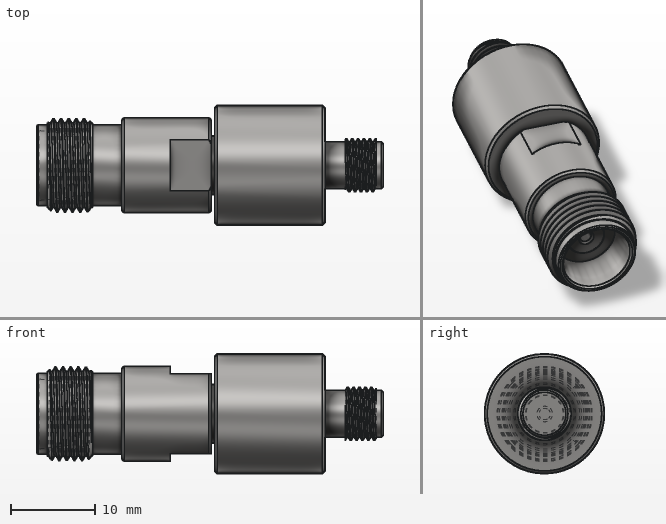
import cadquery as cq
import math

total_length = 41.15

barrel_diameter = 9.63
barrel_end_chamfer = 0.15

collar_start = 10.1
collar_end = 20.75
collar_diameter = 11.3
collar_chamfer = 0.3
flat_start = 15.9
flat_spacing = 9.55

neck_diameter = 7.0

body_start = 21.1
body_end = 34.25
body_diameter = 14.25
body_chamfer = 0.33

stub_diameter = 5.6
stub_end_chamfer = 0.25

large_thread_start = 1.25
large_thread_end = 6.63
large_thread_root = 10.12
large_thread_crest = 11.1
large_thread_pitch = 0.9
large_thread_phase = 0.85
large_thread_end_diameter = 9.88

small_thread_start = 36.62
small_thread_end = 40.3
small_thread_crest = 6.35
small_thread_pitch = 0.7
small_thread_phase = 35.9

flank_angle = math.radians(30)
crest_flat = 0.1
ridge_overlap = 0.05

mouth_diameter = 8.75
bore_diameter = 8.3
bore_floor_diameter = 7.32
mouth_chamfer_depth = 0.25
socket_depth = 4.53

insulator_diameter = 4.55
insulator_height = 0.25
insulator_chamfer = 0.1
contact_mouth_diameter = 1.85
contact_diameter = 1.35
contact_taper_depth = 0.25
contact_depth = 2.05


def revolved(profile):
    """Revolve a closed (x, radius) outline about the X axis."""
    return cq.Workplane("XY").polyline(profile).close().revolve(360, (0, 0, 0), (1, 0, 0))


def tapered(start, end, start_diameter, end_diameter):
    """Cylinder or cone on the X axis."""
    return revolved([(start, 0), (start, start_diameter / 2), (end, end_diameter / 2), (end, 0)])


def cylinder(start, end, diameter):
    return tapered(start, end, diameter, diameter)


def thread_ridge(phase, end, root_diameter, crest_diameter, pitch):
    """Helical ridge whose centre starts on the -Z side at X = phase and runs past X = end."""
    turns = math.ceil((end - phase) / pitch + 0.5)
    base_radius = root_diameter / 2 - ridge_overlap
    crest_radius = crest_diameter / 2
    crest_half = crest_flat / 2
    base_half = crest_half + (crest_radius - base_radius) * math.tan(flank_angle)
    section = [
        (base_radius, -base_half),
        (crest_radius, -crest_half),
        (crest_radius, crest_half),
        (base_radius, base_half),
    ]
    path = cq.Wire.makeHelix(pitch, turns * pitch, base_radius)
    ridge = cq.Workplane("XZ").polyline(section).close().sweep(cq.Workplane(path), isFrenet=True)
    return ridge.rotate((0, 0, 0), (0, 1, 0), 90).translate((phase, 0, 0))


def large_thread():
    band = cylinder(large_thread_start, large_thread_end, large_thread_root)
    ridge = thread_ridge(
        large_thread_phase, large_thread_end, large_thread_root, large_thread_crest, large_thread_pitch
    )
    end_radius = large_thread_end_diameter / 2
    outer_radius = large_thread_crest / 2 + ridge_overlap
    bevel = outer_radius - end_radius
    envelope = revolved([
        (large_thread_start, 0),
        (large_thread_start, end_radius),
        (large_thread_start + bevel, outer_radius),
        (large_thread_end - bevel, outer_radius),
        (large_thread_end, end_radius),
        (large_thread_end, 0),
    ])
    return band.intersect(envelope).union(ridge.intersect(envelope))


def small_thread():
    ridge = thread_ridge(
        small_thread_phase, small_thread_end, stub_diameter, small_thread_crest, small_thread_pitch
    )
    envelope = cylinder(small_thread_start, small_thread_end, small_thread_crest + ridge_overlap)
    return ridge.intersect(envelope)


def collar():
    blank = cylinder(collar_start, collar_end, collar_diameter).edges().chamfer(collar_chamfer)
    flat_length = collar_end - flat_start
    cutter_height = collar_diameter - flat_spacing
    for side in (1, -1):
        cutter = cq.Workplane("XY").box(flat_length, collar_diameter, cutter_height).translate(
            ((flat_start + collar_end) / 2, 0, side * collar_diameter / 2)
        )
        blank = blank.cut(cutter)
    return blank


def socket():
    """Space removed from the large end, leaving the insulator boss on its floor."""
    mouth = tapered(0, mouth_chamfer_depth, mouth_diameter, bore_diameter)
    bore = tapered(mouth_chamfer_depth, socket_depth, bore_diameter, bore_floor_diameter)
    boss_face = socket_depth - insulator_height
    boss = cylinder(boss_face, socket_depth, insulator_diameter)
    boss = boss.faces("<X").edges().chamfer(insulator_chamfer)
    taper_end = boss_face + contact_taper_depth
    contact_mouth = tapered(boss_face, taper_end, contact_mouth_diameter, contact_diameter)
    contact_hole = cylinder(taper_end, boss_face + contact_depth, contact_diameter)
    return mouth.union(bore).cut(boss).union(contact_mouth).union(contact_hole)


barrel = cylinder(0, collar_start, barrel_diameter).faces("<X").edges().chamfer(barrel_end_chamfer)
neck = cylinder(collar_end, body_start, neck_diameter)
body = cylinder(body_start, body_end, body_diameter).edges().chamfer(body_chamfer)
stub = cylinder(body_end, total_length, stub_diameter).faces(">X").edges().chamfer(stub_end_chamfer)

result = barrel.union(large_thread()).union(collar()).union(neck).union(body)
result = result.union(stub).union(small_thread()).cut(socket())